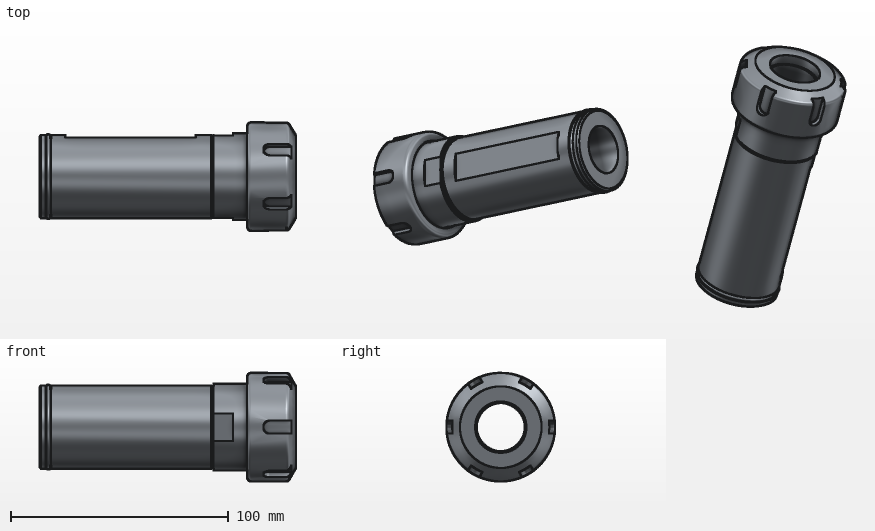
import cadquery as cq
import math

TOTAL_LENGTH = 118.0

BORE_DIAMETER = 22.1
TUBE_DIAMETER = 38.4
END_FACE_DIAMETER = 36.2
END_CHAMFER_LENGTH = 0.8
SEAL_GROOVE_DIAMETER = 35.3
SEAL_GROOVE_START = 3.0
SEAL_GROOVE_END = 5.4
RELIEF_DIAMETER = 37.5
RELIEF_START = 79.0
RELIEF_FLOOR_END = 79.5
RELIEF_RIM_DIAMETER = 38.1
COLLAR_DIAMETER = 40.0
COLLAR_START = 80.1

CLAMP_FLAT_START = 11.9
CLAMP_FLAT_LENGTH = 60.0
CLAMP_FLAT_OFFSET = 18.0
WRENCH_FLAT_END = 89.0
WRENCH_FLAT_WIDTH = 38.0

SEAL_WIRE_DIAMETER = 1.9
SEAL_CENTRE = 4.1

NUT_DIAMETER = 50.0
NUT_START = 95.5
NUT_EDGE_RADIUS = 2.0
NUT_FACE_DIAMETER = 37.5
NUT_CONE_ANGLE = 60.0
NUT_MOUTH_DIAMETER = 23.6
NUT_LIP_THICKNESS = 4.7
NUT_CLEARANCE_DIAMETER = 41.0
NUT_CLEARANCE_DEPTH = 2.4

SLOT_COUNT = 6
SLOT_WIDTH = 6.0
SLOT_START = 102.9
SLOT_FLOOR_DIAMETER = 44.6

NUT_SEAT = TOTAL_LENGTH - NUT_LIP_THICKNESS


def revolve_about_x(profile):
    """Turn a closed XY profile (x along the axis, y = radius) fully around X."""
    return profile.revolve(360, (0, 0, 0), (1, 0, 0))


def box_between(x_start, x_end, y_start, y_end):
    """Block spanning the given x and y ranges, wider in Z than any body."""
    return (
        cq.Workplane("XY")
        .box(x_end - x_start, y_end - y_start, NUT_DIAMETER, centered=(False, False, True))
        .translate((x_start, y_start, 0))
    )


def make_sleeve():
    """Bored tube with a seal groove, a relief groove and a collar inside the nut."""
    profile = (
        cq.Workplane("XY")
        .moveTo(0, BORE_DIAMETER / 2)
        .lineTo(0, END_FACE_DIAMETER / 2)
        .lineTo(END_CHAMFER_LENGTH, TUBE_DIAMETER / 2)
        .lineTo(SEAL_GROOVE_START, TUBE_DIAMETER / 2)
        .lineTo(SEAL_GROOVE_START, SEAL_GROOVE_DIAMETER / 2)
        .lineTo(SEAL_GROOVE_END, SEAL_GROOVE_DIAMETER / 2)
        .lineTo(SEAL_GROOVE_END, TUBE_DIAMETER / 2)
        .lineTo(RELIEF_START, TUBE_DIAMETER / 2)
        .lineTo(RELIEF_START, RELIEF_DIAMETER / 2)
        .lineTo(RELIEF_FLOOR_END, RELIEF_DIAMETER / 2)
        .lineTo(COLLAR_START, RELIEF_RIM_DIAMETER / 2)
        .lineTo(COLLAR_START, COLLAR_DIAMETER / 2)
        .lineTo(NUT_SEAT, COLLAR_DIAMETER / 2)
        .lineTo(NUT_SEAT, BORE_DIAMETER / 2)
        .close()
    )
    sleeve = revolve_about_x(profile)

    clamp_flat_end = CLAMP_FLAT_START + CLAMP_FLAT_LENGTH
    sleeve = sleeve.cut(box_between(CLAMP_FLAT_START, clamp_flat_end, CLAMP_FLAT_OFFSET, TUBE_DIAMETER))

    wrench_flat = box_between(COLLAR_START, WRENCH_FLAT_END, WRENCH_FLAT_WIDTH / 2, COLLAR_DIAMETER)
    return sleeve.cut(wrench_flat).cut(wrench_flat.mirror("XZ"))


def make_seal_ring():
    """Round-section ring in the seal groove."""
    centre_radius = (SEAL_GROOVE_DIAMETER + SEAL_WIRE_DIAMETER) / 2
    section = cq.Workplane("XY").center(SEAL_CENTRE, centre_radius).circle(SEAL_WIRE_DIAMETER / 2)
    return section.revolve(360, (-SEAL_CENTRE, -centre_radius, 0), (1.2 - SEAL_CENTRE, -centre_radius, 0))


def make_slot_cutter():
    """Slot on the -Y side: round inner end, open front, floor concentric with the nut."""
    slot_radius = SLOT_WIDTH / 2
    arc_centre = SLOT_START + slot_radius
    slot = (
        cq.Workplane("XZ")
        .moveTo(arc_centre, slot_radius)
        .threePointArc((SLOT_START, 0), (arc_centre, -slot_radius))
        .lineTo(TOTAL_LENGTH, -slot_radius)
        .lineTo(TOTAL_LENGTH, slot_radius)
        .close()
        .extrude(NUT_DIAMETER)
    )
    core = cq.Workplane("YZ").circle(SLOT_FLOOR_DIAMETER / 2).extrude(TOTAL_LENGTH)
    return slot.cut(core)


def make_nut():
    """Cap nut with rounded edges, a conical front and wrench slots."""
    outer_radius = NUT_DIAMETER / 2
    face_radius = NUT_FACE_DIAMETER / 2
    cone_angle = math.radians(NUT_CONE_ANGLE)
    half_angle = cone_angle / 2
    arc_radius = outer_radius - NUT_EDGE_RADIUS

    cone_start_radius = arc_radius + NUT_EDGE_RADIUS * math.cos(cone_angle)
    cone_start = TOTAL_LENGTH - (cone_start_radius - face_radius) / math.tan(cone_angle)
    front_arc_x = cone_start - NUT_EDGE_RADIUS * math.sin(cone_angle)
    front_arc_middle = (
        front_arc_x + NUT_EDGE_RADIUS * math.sin(half_angle),
        arc_radius + NUT_EDGE_RADIUS * math.cos(half_angle),
    )
    rear_arc_x = NUT_START + NUT_EDGE_RADIUS
    clearance_end = NUT_START + NUT_CLEARANCE_DEPTH

    profile = (
        cq.Workplane("XY")
        .moveTo(NUT_START, NUT_CLEARANCE_DIAMETER / 2)
        .lineTo(NUT_START, arc_radius)
        .radiusArc((rear_arc_x, outer_radius), NUT_EDGE_RADIUS)
        .lineTo(front_arc_x, outer_radius)
        .threePointArc(front_arc_middle, (cone_start, cone_start_radius))
        .lineTo(TOTAL_LENGTH, face_radius)
        .lineTo(TOTAL_LENGTH, NUT_MOUTH_DIAMETER / 2)
        .lineTo(NUT_SEAT, NUT_MOUTH_DIAMETER / 2)
        .lineTo(NUT_SEAT, COLLAR_DIAMETER / 2)
        .lineTo(clearance_end, COLLAR_DIAMETER / 2)
        .lineTo(clearance_end, NUT_CLEARANCE_DIAMETER / 2)
        .close()
    )
    nut = revolve_about_x(profile)

    slot_cutter = make_slot_cutter()
    for index in range(SLOT_COUNT):
        angle = index * 360 / SLOT_COUNT
        nut = nut.cut(slot_cutter.rotate((0, 0, 0), (1, 0, 0), angle))
    return nut


sleeve = make_sleeve()
seal_ring = make_seal_ring()
nut = make_nut()

result = cq.Compound.makeCompound([sleeve.val(), seal_ring.val(), nut.val()])